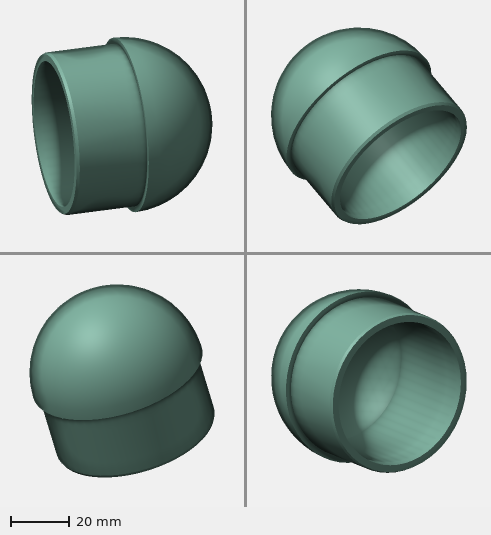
import cadquery as cq

dome_radius = 30.15
dome_wall = 2.4
spigot_radius = 28.1
spigot_length = 25.0
bore_radius = 25.2
chamfer_length = 1.0
chamfer_depth = 0.5


def hemisphere(radius):
    """Half ball on the +Y side of the origin."""
    diagonal = radius * 0.5 ** 0.5
    return (
        cq.Workplane("XY")
        .lineTo(radius, 0)
        .threePointArc((diagonal, diagonal), (0, radius))
        .close()
        .revolve(360, (0, 0), (0, 1))
    )


def spigot():
    """Solid plug below the dome, with its outer end edge chamfered."""
    return (
        cq.Workplane("XY")
        .lineTo(spigot_radius, 0)
        .lineTo(spigot_radius, -spigot_length + chamfer_length)
        .lineTo(spigot_radius - chamfer_depth, -spigot_length)
        .lineTo(0, -spigot_length)
        .close()
        .revolve(360, (0, 0), (0, 1))
    )


def cavity():
    """Straight bore from the open end, capped by a sphere concentric with the dome."""
    bore = (
        cq.Workplane("XZ", origin=(0, -spigot_length, 0))
        .circle(bore_radius)
        .extrude(-(spigot_length + dome_radius))
    )
    inner_ball = cq.Workplane("XY").sphere(dome_radius - dome_wall)
    return bore.intersect(inner_ball.union(spigot()))


result = hemisphere(dome_radius).union(spigot()).cut(cavity())